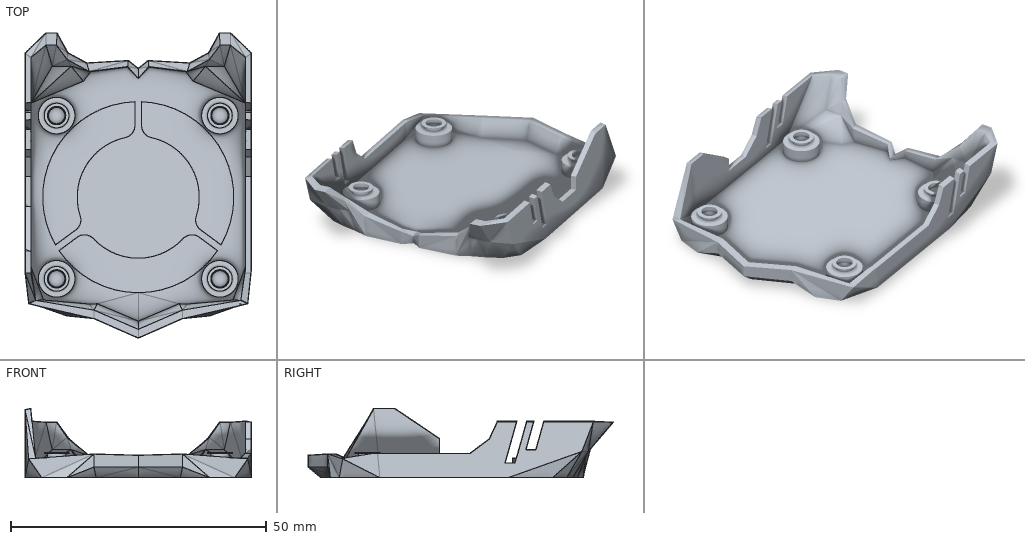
import cadquery as cq
import math


floor_top = 1.25
chin_edge = 2.1
side_rim = 10.9
fin_top = 13.55
rim_bevel = 0.25
low_rim = 4.8
fin_step_top = 7.65
crest_knee = 7.6
ledge_height = 5.5
shoulder_height = 5.15

tip_height = 4.4
brow_x = 8.65
brow_height = 4.65
corner_x = 21.45
corner_height = 3.7
inner_corner_x = 20.1

half_width = 22.2
wall = 1.15
inner_half_width = half_width - wall
front_tip = -27.6
rear_end = 32.15
fin_front = -14.8
fin_back = -10.65
fin_step = -1.85
crest_front = 9.4

slot_width = 1.9
slot_lean = 0.28
slots = ((18.5, 5.5), (15.1, 2.9))

boss_spacing = 32.0
boss_diameter = 7.2
boss_top = 3.8
collar_diameter = 4.85
collar_thickness = 0.1
collar_top = 4.9
neck_diameter = 3.6
boss_bore = 3.2

fan_radius = 18.7
hub_radius = 11.95
spoke_width = 1.3
spokes = ((90.0, 0.0), (212.0, 4.5), (328.0, -4.5))
plate_fillet = 2.4

over = 3.0


def at_height(points, height):
    return [(x, y, height) for x, y in points]


def lip_height(x):
    """Height of the front lip between the brow and the front corner."""
    return brow_height - (brow_height - corner_height) * (x - brow_x) / (corner_x - brow_x)


base_ring = at_height(
    [
        (0, -25.1), (8.25, -21.45), (14.0, -23.25), (18.9, -21.5), (half_width, -13.55),
        (half_width, fin_back), (half_width, crest_front), (half_width, 11.55),
        (21.2, 20.25), (18.55, 23.0), (15.55, 24.2), (12.55, 25.1),
        (9.85, 26.2), (1.9, 26.3), (0, 24.85),
    ],
    0,
)

shoulder_ring = [
    (0, front_tip, chin_edge),
    (brow_x, -23.8, chin_edge),
    *base_ring[2:8],
    (half_width, 26.0, shoulder_height),
    (17.95, 27.25, shoulder_height),
    (14.95, 27.25, shoulder_height),
    (13.15, 26.9, shoulder_height),
    *base_ring[12:],
]

outer_rim = [
    (0, front_tip, tip_height),
    (brow_x, -23.8, brow_height),
    (brow_x, -23.8, brow_height),
    (corner_x, -20.85, corner_height),
    (half_width, fin_front, fin_top - rim_bevel),
    (half_width, fin_back, fin_top - rim_bevel),
    (half_width, crest_front, side_rim),
    (half_width, 18.4, side_rim),
    (half_width, 28.2, side_rim),
    (18.1, rear_end, side_rim),
    (15.9, rear_end, side_rim),
    (13.75, 28.3, 7.9),
    (10.1, 26.3, 4.35),
    (1.9, 26.8, 3.0),
    (0, 25.2, 1.7),
]

inner_rim = [
    (0, -25.9, tip_height),
    (brow_x, -22.1, brow_height),
    (brow_x, -22.1, brow_height),
    (inner_corner_x, -20.2, lip_height(inner_corner_x)),
    (inner_half_width, fin_front, fin_top),
    (inner_half_width, fin_back, fin_top),
    (inner_half_width, crest_front, side_rim + rim_bevel),
    (inner_half_width, 18.4, side_rim + rim_bevel),
    (inner_half_width, 27.4, side_rim + rim_bevel),
    (18.05, 29.8, side_rim),
    (16.0, 29.8, side_rim),
    (13.9, 26.95, 7.9),
    (9.6, 24.6, 4.35),
    (2.1, 25.6, 3.0),
    (0, 23.25, 1.8),
]

dip_start = (0, -18.7, floor_top)
dip_depth = 0.3
dip_end = (0, -24.3, floor_top - dip_depth)

wing_root = (inner_half_width, 18.4)
floor_ring = [dip_end] + at_height(
    [
        (8.0, -20.85), (9.55, -20.9), (18.55, -20.15), (inner_half_width, -13.55),
        (inner_half_width, fin_back), (inner_half_width, crest_front), wing_root,
        wing_root, wing_root, wing_root, (10.75, 22.7),
        (9.3, 24.55), (2.1, 25.45), (0, 23.25),
    ],
    floor_top,
)

ledge_ring = [
    *floor_ring[:3],
    inner_rim[3],
    *floor_ring[4:9],
    (16.85, 25.65, ledge_height),
    (16.85, 25.65, ledge_height),
    (13.15, 25.65, ledge_height),
    *floor_ring[12:],
]


def mirror_point(point):
    return (-point[0], point[1], point[2])


def polygon_face(points):
    return cq.Face.makeFromWires(cq.Wire.makePolygon([cq.Vector(*p) for p in points], close=True))


def band_triangles(lower, upper):
    """Triangles that join two rings station by station, without the ones that collapse."""
    triangles = []
    for i in range(len(lower) - 1):
        triangles.append((lower[i], lower[i + 1], upper[i]))
        triangles.append((lower[i + 1], upper[i + 1], upper[i]))
    return [t for t in triangles if len(set(t)) == 3]


def full_outline(half_ring):
    """The closed outline of a half ring and its mirror image, each point once."""
    right = list(dict.fromkeys(half_ring))
    left = [mirror_point(p) for p in reversed(right[1:-1])]
    return right + left


def make_faceted_shell():
    rings = [base_ring, shoulder_ring, outer_rim, inner_rim, ledge_ring, floor_ring]
    triangles = [(dip_start, dip_end, floor_ring[1])]
    for lower, upper in zip(rings, rings[1:]):
        triangles += band_triangles(lower, upper)
    underside = polygon_face(full_outline(base_ring))
    flat_floor = polygon_face(full_outline([dip_start] + floor_ring[1:]))
    faces = [underside, flat_floor]
    for triangle in triangles:
        faces.append(polygon_face(triangle))
        faces.append(polygon_face([mirror_point(p) for p in triangle]))
    solid = cq.Solid.makeSolid(cq.Shell.makeShell(faces))
    return cq.Workplane(cq.Shape.cast(solid.fix().wrapped)).clean()


def side_cutter(points, side):
    """A cutter through the side wall at +X (side 1) or -X (side -1), outlined in Y and Z."""
    reach = over + 2 * wall
    cutter = cq.Workplane("YZ").polyline(points).close().extrude(reach)
    start = half_width - 2 * wall if side > 0 else -half_width - over
    return cutter.translate((start, 0, 0))


def cut_side_profiles(tray):
    """Lower both side walls behind the fin, and the whole front of the +X wall."""
    sky = fin_top + over
    slope_end = -21.5
    shoulder_slope = [(crest_front, sky), (crest_front, side_rim), (7.85, crest_knee), (4.05, low_rim)]
    fin_slope = [(fin_step, low_rim), (fin_step, fin_step_top), (fin_back, fin_top), (fin_back, sky)]
    front_slope = [(fin_front, low_rim), (slope_end, corner_height), (slope_end, sky)]
    tray = tray.cut(side_cutter(shoulder_slope + fin_slope, -1))
    return tray.cut(side_cutter(shoulder_slope + front_slope, 1))


def cut_vent_slots(tray):
    """Two leaning slots, open at the top, through each side wall."""
    for slot_rear, slot_bottom in slots:
        top = side_rim + over
        foot = slot_rear - slot_lean * (side_rim - slot_bottom)
        head = slot_rear + slot_lean * over
        outline = [
            (head, top),
            (foot, slot_bottom),
            (foot - slot_width, slot_bottom),
            (head - slot_width, top),
        ]
        for side in (1, -1):
            tray = tray.cut(side_cutter(outline, side))
    return tray


def disc(diameter, bottom, top):
    return cq.Workplane("XY").workplane(offset=bottom).circle(diameter / 2).extrude(top - bottom)


def make_boss():
    """A screw boss with a thin collar on a neck, bored down to the boss top."""
    neck_top = collar_top - collar_thickness
    boss = disc(boss_diameter, floor_top, boss_top)
    boss = boss.union(disc(neck_diameter, boss_top, neck_top))
    boss = boss.union(disc(collar_diameter, neck_top, collar_top))
    return boss.cut(disc(boss_bore, boss_top, collar_top))


def add_bosses(tray):
    for x in (-boss_spacing / 2, boss_spacing / 2):
        for y in (-boss_spacing / 2, boss_spacing / 2):
            tray = tray.union(make_boss().translate((x, y, 0)))
    return tray


def make_fan_plates():
    """Three ring sectors between the spokes, as thick as the floor."""
    spoke_length = 3 * (fan_radius - hub_radius)
    ring = cq.Workplane("XY").circle(fan_radius).circle(hub_radius).extrude(floor_top)
    for angle, tilt in spokes:
        spoke = cq.Workplane("XY").box(spoke_length, spoke_width, floor_top, centered=(True, True, False))
        spoke = spoke.rotate((0, 0, 0), (0, 0, 1), tilt).translate((fan_radius, 0, 0))
        ring = ring.cut(spoke.rotate((0, 0, 0), (0, 0, 1), angle))
    between = (hub_radius + fan_radius) / 2
    hub_corners = [
        edge
        for edge in ring.edges("|Z").vals()
        if math.hypot(edge.Center().x, edge.Center().y) < between
    ]
    return ring.newObject(hub_corners).fillet(plate_fillet).solids().vals()


def make_tray(fan_plates):
    """The shell with its side profiles, slots, bosses and openings for the fan plates."""
    tray = cut_vent_slots(cut_side_profiles(make_faceted_shell()))
    tray = add_bosses(tray)
    for plate in fan_plates:
        tray = tray.cut(cq.Workplane(plate))
    return tray


fan_plates = make_fan_plates()
tray = make_tray(fan_plates)

result = cq.Compound.makeCompound([tray.val(), *fan_plates])